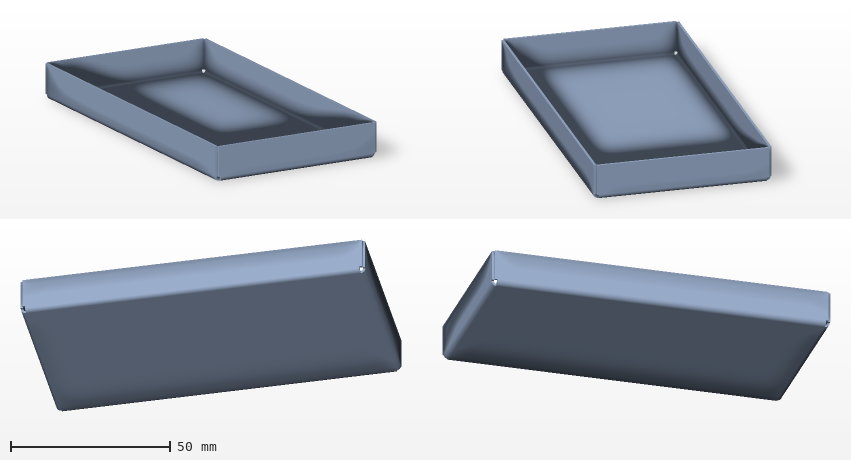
import cadquery as cq

length = 110.6
width = 58.0
height = 11.6

thickness = 0.8
inner_radius = 0.82
outer_radius = inner_radius + thickness

corner_gap = 0.02


def folded_side(span, reach):
    """Bend and upright wall along X, with the outer wall face at y = -reach."""
    bend_axis_y = outer_radius - reach
    corner = cq.Workplane("XY").box(
        span - 2 * outer_radius, outer_radius, outer_radius, centered=(True, False, False)
    ).translate((0, -reach, 0))

    def bend_cylinder(radius):
        return (
            cq.Workplane("YZ")
            .center(bend_axis_y, outer_radius)
            .circle(radius)
            .extrude(span / 2, both=True)
        )

    bend = corner.intersect(bend_cylinder(outer_radius)).cut(bend_cylinder(inner_radius))

    wall = cq.Workplane("XY").box(
        span - 2 * (thickness + corner_gap),
        thickness,
        height - outer_radius,
        centered=(True, False, False),
    ).translate((0, -reach, outer_radius))
    return bend.union(wall)


result = cq.Workplane("XY").box(
    length - 2 * outer_radius,
    width - 2 * outer_radius,
    thickness,
    centered=(True, True, False),
)

long_side = folded_side(length, width / 2)
short_side = folded_side(width, length / 2)
for angle in (0, 180):
    result = result.union(long_side.rotate((0, 0, 0), (0, 0, 1), angle))
    result = result.union(short_side.rotate((0, 0, 0), (0, 0, 1), angle + 90))